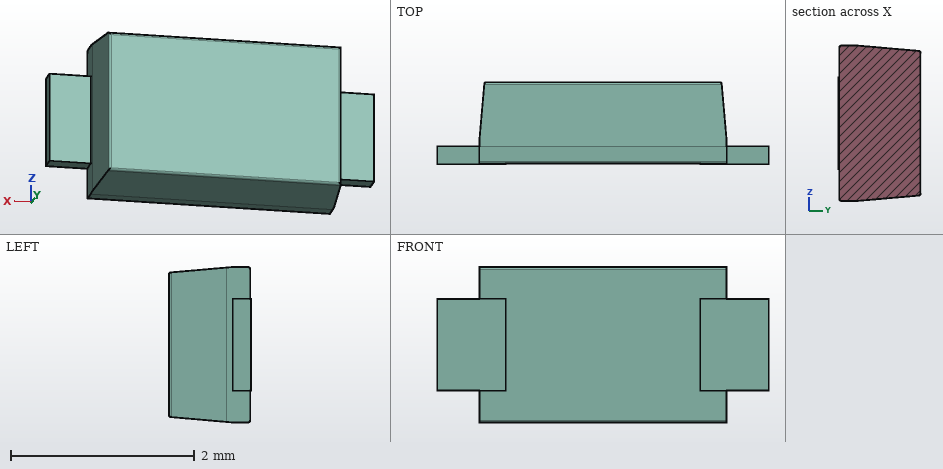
import cadquery as cq
import math

overall_length = 3.62
lead_length = 0.75
lead_width = 1.0
lead_thickness = 0.2

body_length = 2.7
body_width = 1.7
body_bottom = 0.01
body_top = 0.9
draft_angle = 5.0
end_draft_start = 0.27
side_draft_start = lead_thickness
edge_radius = 0.027


def drafted_outline(plane, width, draft_start):
    """Closed outline, straight up to draft_start and then tapered in to the body top."""
    half_bottom = width / 2
    half_top = half_bottom - (body_top - draft_start) * math.tan(math.radians(draft_angle))
    return (
        cq.Workplane(plane)
        .moveTo(-half_bottom, body_bottom)
        .lineTo(half_bottom, body_bottom)
        .lineTo(half_bottom, draft_start)
        .lineTo(half_top, body_top)
        .lineTo(-half_top, body_top)
        .lineTo(-half_bottom, draft_start)
        .close()
    )


def make_lead(side):
    """Flat lead at the -X (side = -1) or +X (side = 1) end."""
    center_x = side * (overall_length - lead_length) / 2
    return (
        cq.Workplane("XY")
        .box(lead_length, lead_thickness, lead_width)
        .translate((center_x, lead_thickness / 2, 0))
    )


def make_body(leads):
    """Moulded body with drafted ends and sides, rounded edges and a pocket for each lead."""
    end_profile = drafted_outline("XY", body_length, end_draft_start)
    side_profile = drafted_outline("ZY", body_width, side_draft_start)
    body = end_profile.extrude(body_width / 2, both=True)
    body = body.intersect(side_profile.extrude(body_length / 2, both=True))
    body = body.faces(">Y").edges().fillet(edge_radius)
    body = body.faces("<Y").edges("|X").fillet(edge_radius)
    for lead in leads:
        body = body.cut(lead)
    return body


leads = [make_lead(side) for side in (-1, 1)]
body = make_body(leads)

result = cq.Compound.makeCompound([body.val(), *[lead.val() for lead in leads]])